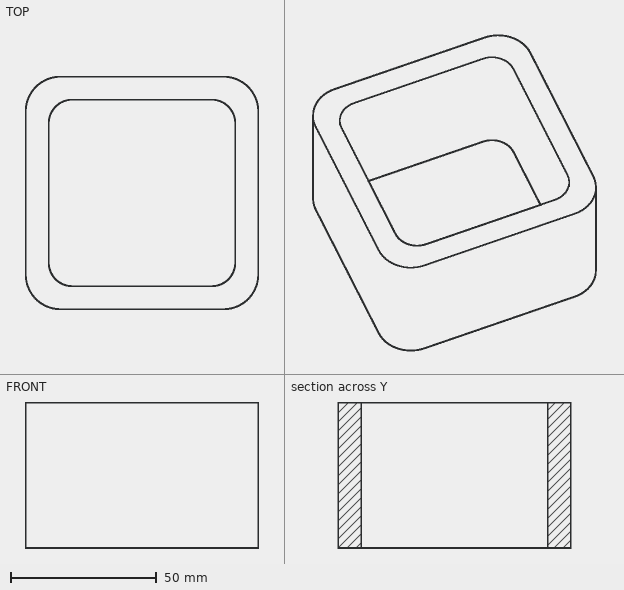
import cadquery as cq

side = 80.0
height = 50.0
wall = 8.0
outer_radius = 12.0
inner_radius = 8.0


def rounded_block(width, corner_radius):
    """Square block standing on the XY plane with rounded upright edges."""
    block = cq.Workplane("XY").rect(width, width).extrude(height)
    return block.edges("|Z").fillet(corner_radius)


body = rounded_block(side, outer_radius)
opening = rounded_block(side - 2 * wall, inner_radius)

result = body.cut(opening)